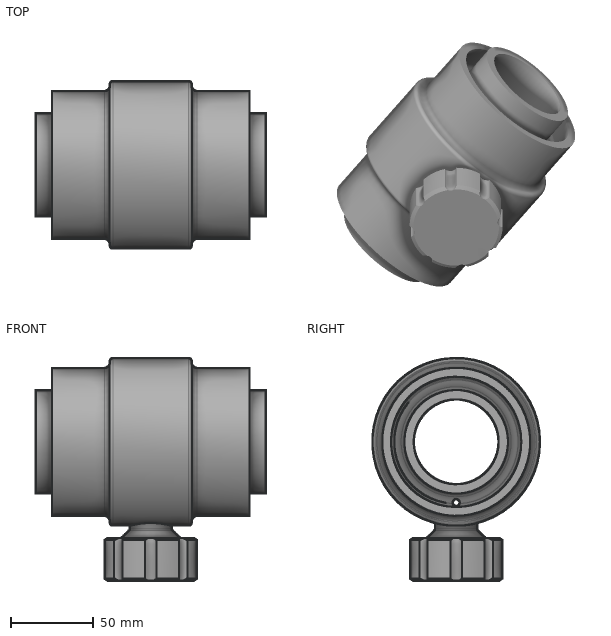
import cadquery as cq

length = 140.0
height = 135.5
bore_diameter = 51.4
spigot_diameter = 63.0
sleeve_length = 120.1
sleeve_diameter = 90.0
collar_length = 50.0
collar_diameter = 102.0
collar_edge_radius = 2.1
collar_foot_radius = 3.1

recess_diameter = 79.2
recess_depth = 15.0
recess_floor_radius = 2.0

vent_diameter = 4.0
vent_offset = 37.0

knob_bottom = collar_diameter / 2 - height
knob_height = 26.0
knob_diameter = 56.5
knob_chamfer_height = 1.4
knob_chamfer_width = 2.2
shoulder_height = 4.9
shoulder_diameter = 35.8
stem_diameter = 25.8
stem_root_radius = 1.0

groove_count = 8
groove_radius = 3.8
groove_center_radius = 29.3


def cylinder_along_x(diameter, span):
    """Cylinder on the X axis, centered on the origin."""
    return cq.Workplane("YZ").circle(diameter / 2).extrude(span / 2, both=True)


def make_body():
    """Sleeve with a collar, rounded at its rims and at its feet."""
    half_collar = collar_length / 2
    half_sleeve = sleeve_length / 2
    sleeve_radius = sleeve_diameter / 2
    collar_radius = collar_diameter / 2
    foot = collar_foot_radius
    edge = collar_edge_radius
    profile = (
        cq.Workplane("XY")
        .moveTo(-half_sleeve, 0)
        .lineTo(-half_sleeve, sleeve_radius)
        .lineTo(-half_collar - foot, sleeve_radius)
        .radiusArc((-half_collar, sleeve_radius + foot), -foot)
        .lineTo(-half_collar, collar_radius - edge)
        .radiusArc((-half_collar + edge, collar_radius), edge)
        .lineTo(half_collar - edge, collar_radius)
        .radiusArc((half_collar, collar_radius - edge), edge)
        .lineTo(half_collar, sleeve_radius + foot)
        .radiusArc((half_collar + foot, sleeve_radius), -foot)
        .lineTo(half_sleeve, sleeve_radius)
        .lineTo(half_sleeve, 0)
        .close()
    )
    return profile.revolve(360, (0, 0, 0), (1, 0, 0))


def make_end_recess():
    """Ring cutter for the -X end, with both edges of its floor rounded."""
    return (
        cq.Workplane("YZ", origin=(-sleeve_length / 2, 0, 0))
        .circle(recess_diameter / 2)
        .circle(spigot_diameter / 2)
        .extrude(recess_depth)
        .faces(">X")
        .edges()
        .fillet(recess_floor_radius)
    )


def make_knob():
    """Stem, conical shoulder and grooved knob."""
    knob_top = knob_bottom + knob_height
    shoulder_top = knob_top + shoulder_height
    knob_radius = knob_diameter / 2
    face_radius = knob_radius - knob_chamfer_width
    stem_radius = stem_diameter / 2
    stem_top = -(recess_diameter + sleeve_diameter) / 4
    profile = [
        (0, knob_bottom),
        (face_radius, knob_bottom),
        (knob_radius, knob_bottom + knob_chamfer_height),
        (knob_radius, knob_top - knob_chamfer_height),
        (face_radius, knob_top),
        (shoulder_diameter / 2, knob_top),
        (stem_radius, shoulder_top),
        (stem_radius, stem_top),
        (0, stem_top),
    ]
    knob = cq.Workplane("XZ").polyline(profile).close().revolve(360, (0, 0, 0), (0, 1, 0))
    shoulder_rim = cq.selectors.NearestToPointSelector((0, 0, shoulder_top))
    knob = knob.edges(shoulder_rim).fillet(stem_root_radius)
    grooves = (
        cq.Workplane("XY", origin=(0, 0, knob_bottom))
        .polarArray(groove_center_radius, 0, 360, groove_count)
        .circle(groove_radius)
        .extrude(knob_height)
    )
    return knob.cut(grooves)


recess = make_end_recess()
body = make_body().cut(recess).cut(recess.mirror("YZ"))
body = body.union(cylinder_along_x(spigot_diameter, length)).union(make_knob())
vent = cylinder_along_x(vent_diameter, length).translate((0, 0, -vent_offset))
result = body.cut(cylinder_along_x(bore_diameter, length)).cut(vent)